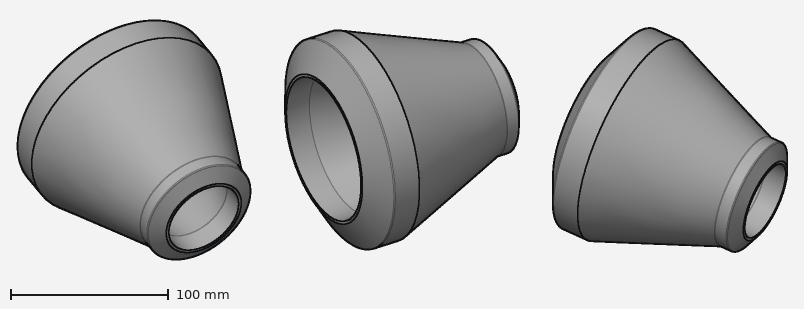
import cadquery as cq
import math

length = 127.0
large_radius = 139.7 / 2
small_radius = 76.1 / 2
large_bore_radius = 95.3 / 2
small_bore_radius = 51.1 / 2

land_width = 2.0
bevel_angle = math.radians(30)

cone_start = 30.0
cone_end = 112.0
bore_cone_start = 16.6

edge_radius = 1.0


def bevel_length(outer_radius, bore_radius):
    """Axial length of the bevel between the land and the outside."""
    return (outer_radius - bore_radius - land_width) * math.tan(bevel_angle)


large_bevel = bevel_length(large_radius, large_bore_radius)
small_bevel = bevel_length(small_radius, small_bore_radius)

half_section = [
    (0, large_bore_radius),
    (0, large_bore_radius + land_width),
    (large_bevel, large_radius),
    (cone_start, large_radius),
    (cone_end, small_radius),
    (length - small_bevel, small_radius),
    (length, small_bore_radius + land_width),
    (length, small_bore_radius),
    (cone_end, small_bore_radius),
    (bore_cone_start, large_bore_radius),
]

reducer = (
    cq.Workplane("XY")
    .polyline(half_section)
    .close()
    .revolve(360, (0, 0, 0), (1, 0, 0))
)

rounded_edges = [
    (large_bevel, large_radius),
    (length - small_bevel, small_radius),
    (cone_end, small_radius),
]


def round_outer_edge(body, place, radius):
    """Fillet the circular edge of the given radius at one place along X."""
    margin = 0.1
    edge_zone = cq.selectors.BoxSelector(
        (place - margin, -radius - margin, -radius - margin),
        (place + margin, radius + margin, radius + margin),
        boundingbox=True,
    )
    return body.edges("%CIRCLE").edges(edge_zone).fillet(edge_radius)


result = reducer
for edge_place, edge_circle_radius in rounded_edges:
    result = round_outer_edge(result, edge_place, edge_circle_radius)